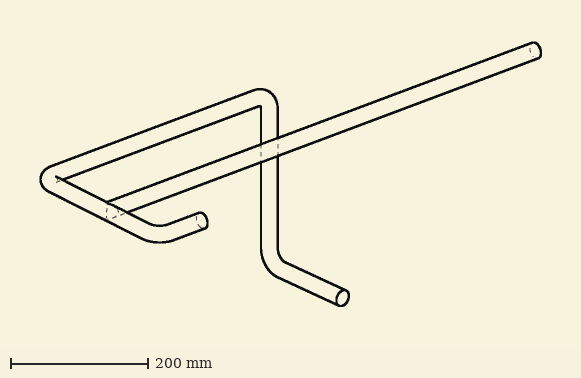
import cadquery as cq

rod_diameter = 25.0
rod_radius = rod_diameter / 2
bend_radius = 26.0

overall_width = 278.0
overall_length = 854.5
overall_height = 299.0

cross_span = overall_width - rod_diameter
cross_drop = 8.0
post_height = overall_height - rod_diameter
side_length = 447.0
foot_length = 160.0
hook_length = 87.0

arm_x = 141.0
arm_z = -cross_drop * arm_x / cross_span
arm_length = overall_length - rod_radius


def bent_rod(corners):
    """Round rod along straight runs through the corners, with an arc at every inner corner."""
    points = [cq.Vector(*corner) for corner in corners]
    start_direction = (points[1] - points[0]).normalized()
    run_start = points[0]
    edges = []
    for before, corner, after in zip(points, points[1:], points[2:]):
        toward_before = (before - corner).normalized()
        toward_after = (after - corner).normalized()
        arc_start = corner + toward_before * bend_radius
        arc_end = corner + toward_after * bend_radius
        arc_center = arc_start + toward_after * bend_radius
        arc_middle = arc_center + (corner - arc_center).normalized() * bend_radius
        edges.append(cq.Edge.makeLine(run_start, arc_start))
        edges.append(cq.Edge.makeThreePointArc(arc_start, arc_middle, arc_end))
        run_start = arc_end
    edges.append(cq.Edge.makeLine(run_start, points[-1]))

    path = cq.Workplane(cq.Wire.assembleEdges(edges))
    section_plane = cq.Plane(origin=points[0], normal=start_direction)
    return cq.Workplane(section_plane).circle(rod_radius).sweep(path)


frame = bent_rod([
    (foot_length, side_length, -post_height),
    (0, side_length, -post_height),
    (0, side_length, 0),
    (0, 0, 0),
    (cross_span, 0, -cross_drop),
    (cross_span, hook_length, -cross_drop),
])

arm = bent_rod([(arm_x, 0, arm_z), (arm_x, arm_length, arm_z)])

result = frame.union(arm)